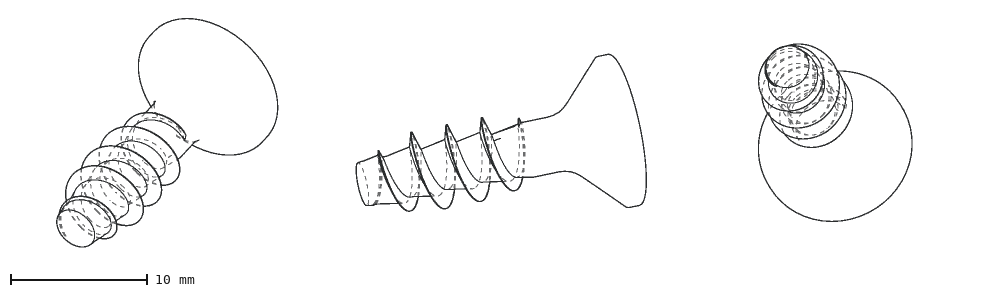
import cadquery as cq
import math


length = 20.0
head_radius = 5.65
rim_height = 0.86
head_edge_radius = 0.1
head_cone_angle = math.radians(45)
shank_radius = 2.05
neck_radius = 2.4
shank_end_depth = 7.45

shank_end_taper = math.tan(math.radians(12))
core_taper = math.tan(math.radians(10))
core_radius = 1.65
tip_radius = 1.6
tip_lip = 0.1
tip_dimple_depth = 0.1

pitch = 2.685
thread_start_depth = 7.23
crest_radius = 3.0
crest_start_radius = 2.3
run_in_turns = 1.0
run_out_start_turn = 3.25
thread_turns = 4.7
crest_half_width = 0.03
head_side_slope = 0.3
tip_side_slope = 0.33
saw_radius = 1.97
stretch_turns = (0, run_in_turns, 2.125, run_out_start_turn, 4, thread_turns)

root_radius = 1.64
root_sink = 0.03
foot_sink = 0.02

points_per_turn = 12
pick_margin = 0.01


def revolved(profile):
    """Solid of revolution round Y; the profile gives (radius, y) corners."""
    return cq.Workplane("ZY").polyline(profile).close().revolve(360, (0, 0, 0), (0, 1, 0))


def ring_at(depth, radius):
    """Selector for the circular edge of this radius at this depth."""
    reach = radius + pick_margin
    near = (-reach, -depth - pick_margin, -reach)
    far = (reach, -depth + pick_margin, reach)
    return cq.selectors.BoxSelector(near, far, boundingbox=True)


def head_shank_and_core():
    """Countersunk head with rounded rim edges, blended into the plain shank and the tapered core."""
    cone_end_depth = rim_height + (head_radius - shank_radius) / math.tan(head_cone_angle)
    taper_depth = shank_end_depth + (shank_radius - core_radius) / shank_end_taper
    tip_taper_depth = length - (core_radius - tip_radius) / core_taper
    profile = [
        (0, 0),
        (head_radius, 0),
        (head_radius, -rim_height),
        (shank_radius, -cone_end_depth),
        (shank_radius, -shank_end_depth),
        (core_radius, -taper_depth),
        (core_radius, -tip_taper_depth),
        (tip_radius, -length),
        (0, -length),
    ]
    body = revolved(profile)
    body = body.edges(ring_at(cone_end_depth, shank_radius)).fillet(neck_radius)
    for depth in (0, rim_height):
        body = body.edges(ring_at(depth, head_radius)).fillet(head_edge_radius)
    return body


def crest_radius_at(turn):
    """Crest rises over the run-in, stays level, then sinks to the tip radius."""
    run_in = crest_start_radius + (crest_radius - crest_start_radius) * turn / run_in_turns
    run_out_fraction = (turn - run_out_start_turn) / (thread_turns - run_out_start_turn)
    run_out = crest_radius - (crest_radius - tip_radius) * run_out_fraction
    return min(run_in, crest_radius, run_out)


def saw_peak_at(turn):
    """Radius of the wedge line carried up to the crest, kept within the cone ending at the tip."""
    full_foot_offset = crest_half_width + tip_side_slope * (crest_radius - saw_radius)
    full_peak = saw_radius + core_taper * full_foot_offset
    crest_depth = thread_start_depth + pitch * turn
    return min(full_peak, tip_radius - root_sink + core_taper * (length - crest_depth))


def thread_corners(turn):
    """Section as (radius, depth past the crest): narrow-crested thread and the wedge behind it."""
    crest = crest_radius_at(turn)
    peak = saw_peak_at(turn)
    flank_reach = crest_half_width + tip_side_slope * crest
    tip_foot = (peak - core_taper * flank_reach) / (1 - core_taper * tip_side_slope)
    head_foot = min(root_radius, crest - foot_sink)
    tail = min(root_radius, peak - foot_sink)
    return [
        (head_foot, -crest_half_width - head_side_slope * (crest - head_foot)),
        (crest, -crest_half_width),
        (crest, crest_half_width),
        (tip_foot, crest_half_width + tip_side_slope * (crest - tip_foot)),
        (tail, (peak - tail) / core_taper),
    ]


def corner_point(turn, corner):
    """Place of one corner of the thread section after the given number of turns."""
    radius, offset = thread_corners(turn)[corner]
    angle = 2 * math.pi * turn
    depth = thread_start_depth + pitch * turn + offset
    return cq.Vector(radius * math.cos(angle), -depth, radius * math.sin(angle))


def thread_stretch(first_turn, last_turn):
    """The corner spirals of one stretch of thread, as splines."""
    count = math.ceil((last_turn - first_turn) * points_per_turn)
    step = (last_turn - first_turn) / count
    turns = [first_turn + step * i for i in range(count + 1)]
    corners = range(len(thread_corners(first_turn)))
    return [cq.Edge.makeSpline([corner_point(t, c) for t in turns]) for c in corners]


def thread():
    """Thread wound round the core, built stretch by stretch as one closed shell."""
    stretches = [thread_stretch(*ends) for ends in zip(stretch_turns, stretch_turns[1:])]
    faces = []
    for edges in stretches:
        faces += [cq.Face.makeRuledSurface(edges[i - 1], edges[i]) for i in range(len(edges))]
    first_ring = [edge.startPoint() for edge in stretches[0]]
    last_ring = [edge.endPoint() for edge in stretches[-1]]
    for ring in (first_ring, last_ring):
        faces.append(cq.Face.makeFromWires(cq.Wire.makePolygon(ring, close=True)))
    solid = cq.Solid.makeSolid(cq.Shell.makeShell(faces))
    return cq.Workplane(cq.Shape.cast(solid.fix().wrapped))


def tip_dimple():
    """Shallow conical hollow in the tip face."""
    dimple_radius = tip_radius - tip_lip
    profile = [(0, -length), (dimple_radius, -length), (0, tip_dimple_depth - length)]
    return revolved(profile)


def thread_limits():
    """Cylinder from the end of the shank to the tip face, wider than the thread."""
    blank = cq.Workplane("XZ", origin=(0, -shank_end_depth, 0))
    return blank.circle(head_radius).extrude(length - shank_end_depth)


trimmed_thread = thread().intersect(thread_limits())
result = head_shank_and_core().union(trimmed_thread).cut(tip_dimple())